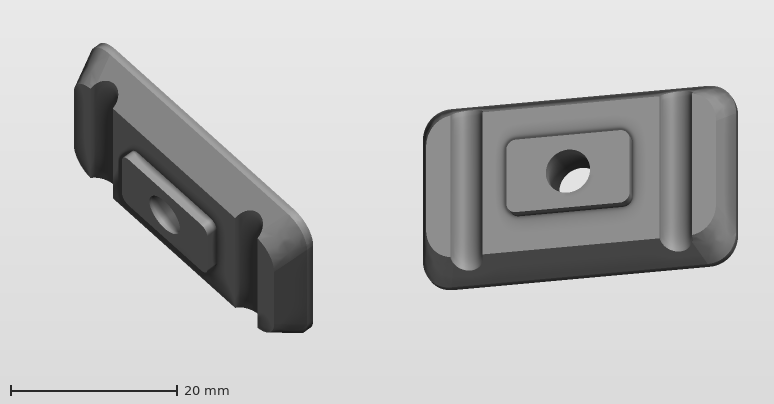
import cadquery as cq
import math

face_length = 36.0
face_height = 18.23
plate_thickness = 1.0
slope_depth = 4.0
end_slope_angle = 20.0
side_slope_angle = 30.0
corner_radius = 4.0

base_length = face_length + 2 * slope_depth * math.tan(math.radians(end_slope_angle))
base_height = face_height + 2 * slope_depth * math.tan(math.radians(side_slope_angle))

groove_diameter = 4.0
groove_spacing = 26.0

pad_length = 15.3
pad_height = 9.3
pad_thickness = 1.5
pad_corner_radius = 1.2
hole_diameter = 5.5

slope_start_y = -plate_thickness
face_y = slope_start_y - slope_depth
pad_front_y = face_y - pad_thickness


def facing_front(y):
    """Workplane at the given Y, facing the front (-Y)."""
    return cq.Workplane("XZ", origin=(0, y, 0))


def make_sloped_block():
    """Four-sided taper with its slanted corner edges rounded."""
    block = (
        facing_front(slope_start_y)
        .rect(base_length, base_height)
        .workplane(offset=slope_depth)
        .rect(face_length, face_height)
        .loft(ruled=True)
    )
    slanted_edges = "not(#Y)"
    return block.edges(slanted_edges).fillet(corner_radius)


def make_back_plate(block):
    """Straight plate that continues the rounded back outline of the block."""
    return block.faces(">Y").wires().toPending().workplane().extrude(plate_thickness)


def make_pad():
    return (
        facing_front(face_y)
        .rect(pad_length, pad_height)
        .extrude(pad_thickness)
        .edges("|Y")
        .fillet(pad_corner_radius)
    )


def make_grooves():
    return (
        cq.Workplane("XY", origin=(0, face_y, -base_height / 2))
        .pushPoints([(-groove_spacing / 2, 0), (groove_spacing / 2, 0)])
        .circle(groove_diameter / 2)
        .extrude(base_height)
    )


def make_hole():
    return facing_front(0).circle(hole_diameter / 2).extrude(-pad_front_y)


sloped_block = make_sloped_block()
body = sloped_block.union(make_back_plate(sloped_block))
result = body.cut(make_grooves()).union(make_pad()).cut(make_hole())